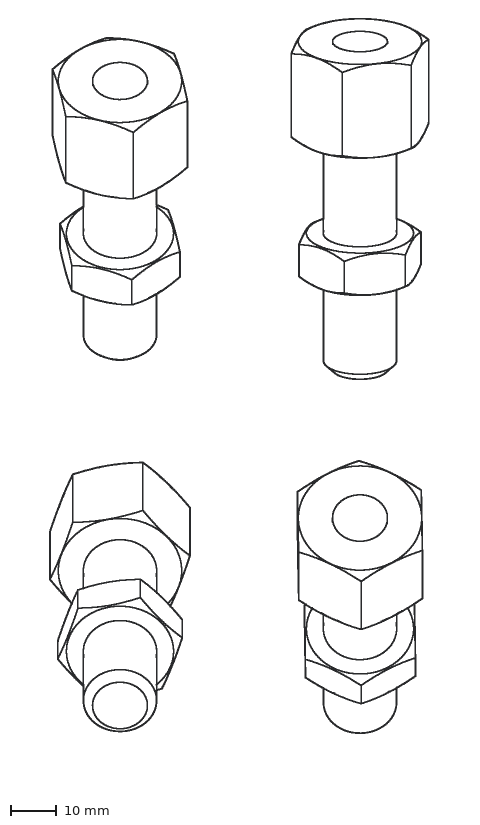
import cadquery as cq
import math

total_length = 77.0
shank_diameter = 16.0
tip_chamfer = 2.0

head_across_flats = 27.0
head_height = 22.0
head_face_diameter = 26.95
hole_diameter = 12.0
hole_depth = head_height

nut_across_flats = 24.0
nut_height = 9.9
nut_face_diameter = 23.4
nut_bottom = 22.0

corner_chamfer_angle = 30.0

half_side_angle = 30.0
blank_oversize = 1.1


def chamfered_hexagon(across_flats, face_diameter, height, bottom):
    """Hexagonal prism with corners on the Y axis, turned to a cone at both ends."""
    corner_radius = across_flats / 2 / math.cos(math.radians(half_side_angle))
    face_radius = face_diameter / 2
    blank_radius = blank_oversize * corner_radius
    cone_drop = (blank_radius - face_radius) * math.tan(math.radians(corner_chamfer_angle))
    prism = (
        cq.Workplane("XY")
        .polygon(6, 2 * corner_radius)
        .extrude(height)
        .rotate((0, 0, 0), (0, 0, 1), half_side_angle)
    )
    blank = (
        cq.Workplane("XZ")
        .moveTo(0, 0)
        .lineTo(face_radius, 0)
        .lineTo(blank_radius, cone_drop)
        .lineTo(blank_radius, height - cone_drop)
        .lineTo(face_radius, height)
        .lineTo(0, height)
        .close()
        .revolve(360, (0, 0), (0, 1))
    )
    return prism.intersect(blank).translate((0, 0, bottom))


def make_bolt():
    """Shank with a chamfered tip, hexagonal head and blind hole."""
    head_bottom = total_length - head_height
    shank = (
        cq.Workplane("XY")
        .circle(shank_diameter / 2)
        .extrude(head_bottom)
        .faces("<Z")
        .chamfer(tip_chamfer)
    )
    head = chamfered_hexagon(head_across_flats, head_face_diameter, head_height, head_bottom)
    hole = (
        cq.Workplane("XY", origin=(0, 0, total_length - hole_depth))
        .circle(hole_diameter / 2)
        .extrude(hole_depth)
    )
    return shank.union(head).cut(hole)


def make_nut():
    """Hexagonal lock nut whose bore fits the shank."""
    bore = (
        cq.Workplane("XY", origin=(0, 0, nut_bottom))
        .circle(shank_diameter / 2)
        .extrude(nut_height)
    )
    return chamfered_hexagon(nut_across_flats, nut_face_diameter, nut_height, nut_bottom).cut(bore)


bolt = make_bolt()
nut = make_nut()
result = cq.Compound.makeCompound([bolt.val(), nut.val()])